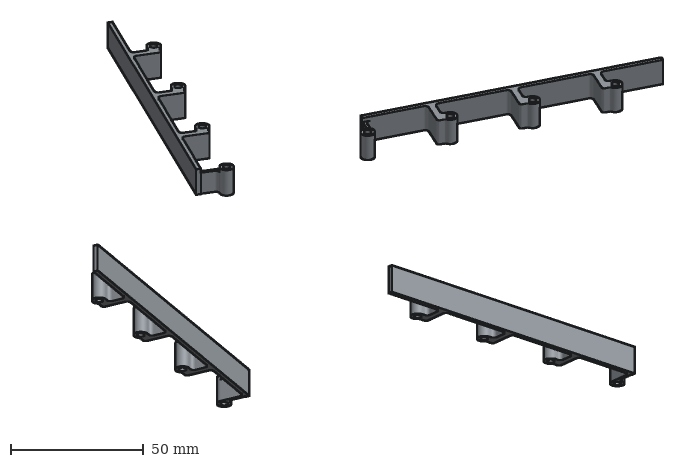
import cadquery as cq
import math

length = 124.4
depth = 14.3
height = 11.0

plate_length = 120.4
plate_thickness = 1.9

boss_radius = 2.7
hole_diameter = 2.9
boss_span = 99.0
boss_count = 4
boss_pitch = boss_span / (boss_count - 1)
boss_y = depth - boss_radius
end_boss_x = length - boss_radius
boss_bottom_y = boss_y - boss_radius

post_width = 3.0
post_outer_offset = 5.6
arm_top_offset = 1.5
arm_top_y = boss_y + arm_top_offset

web_width = 1.2
web_height = height - 1.9

underside_radius = 1.4
base_radius = 1.5
corner_radius = 1.0
neck_radius = 1.0


def block(x_min, x_max, y_min, y_max, block_height):
    """Rectangular block standing on Z = 0."""
    return cq.Workplane("XY").box(
        x_max - x_min, y_max - y_min, block_height, centered=False
    ).translate((x_min, y_min, 0))


def cylinder(x, radius):
    """Full-height cylinder on a boss axis."""
    return cq.Workplane("XY").center(x, boss_y).circle(radius).extrude(height)


def round_edge(body, x, y, radius, body_height=height):
    """Fillet the vertical edge at (x, y)."""
    edge_middle = (x, y, body_height / 2)
    return body.edges("|Z").edges(cq.NearestToPointSelector(edge_middle)).fillet(radius)


def add_arm(body, boss_x):
    """Add a hooked arm and its boss, with all its rounded corners."""
    post_right = boss_x + post_outer_offset
    post_left = post_right - post_width
    neck_x = boss_x + math.sqrt(boss_radius**2 - arm_top_offset**2)

    post = block(post_left, post_right, 0, arm_top_y, height)
    head = block(boss_x, post_right, boss_bottom_y, arm_top_y, height)
    body = body.union(post).union(head).union(cylinder(boss_x, boss_radius))

    body = round_edge(body, post_left, boss_bottom_y, underside_radius)
    body = round_edge(body, post_right, arm_top_y, corner_radius)
    body = round_edge(body, neck_x, arm_top_y, neck_radius)
    body = round_edge(body, post_left, plate_thickness, base_radius)
    return round_edge(body, post_right, plate_thickness, base_radius)


def add_end_boss(body):
    """Add the end boss on a web tangent to its -X side."""
    web_left = end_boss_x - boss_radius
    web_right = web_left + web_width
    web = block(web_left, web_right, 0, boss_y, web_height)
    head = block(web_left, end_boss_x, boss_bottom_y, boss_y, web_height)
    web = round_edge(web.union(head), web_right, boss_bottom_y, underside_radius, web_height)

    body = body.union(web)
    body = round_edge(body, web_left, plate_thickness, base_radius, web_height)
    return body.union(cylinder(end_boss_x, boss_radius))


boss_positions = [end_boss_x - i * boss_pitch for i in range(boss_count)]

result = block(0, plate_length, 0, plate_thickness, height)
for arm_boss_x in boss_positions[1:]:
    result = add_arm(result, arm_boss_x)
result = add_end_boss(result)

for hole_x in boss_positions:
    result = result.cut(cylinder(hole_x, hole_diameter / 2))